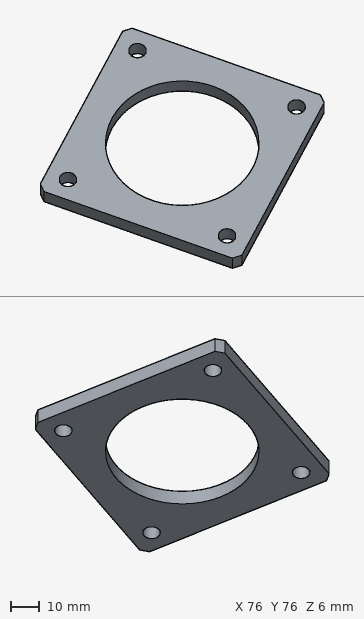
import cadquery as cq

plate_side = 76.0
plate_thickness = 6.0
corner_chamfer = 2.5

bore_diameter = 53.0
mount_hole_diameter = 6.0
mount_hole_spacing = 60.0

plate = (
    cq.Workplane("XY")
    .box(plate_side, plate_side, plate_thickness)
    .edges("|Z")
    .chamfer(corner_chamfer)
)

plate = plate.faces(">Z").workplane().hole(bore_diameter)

result = (
    plate.faces(">Z")
    .workplane(origin=(0, 0, 0))
    .rect(mount_hole_spacing, mount_hole_spacing, forConstruction=True)
    .vertices()
    .hole(mount_hole_diameter)
)